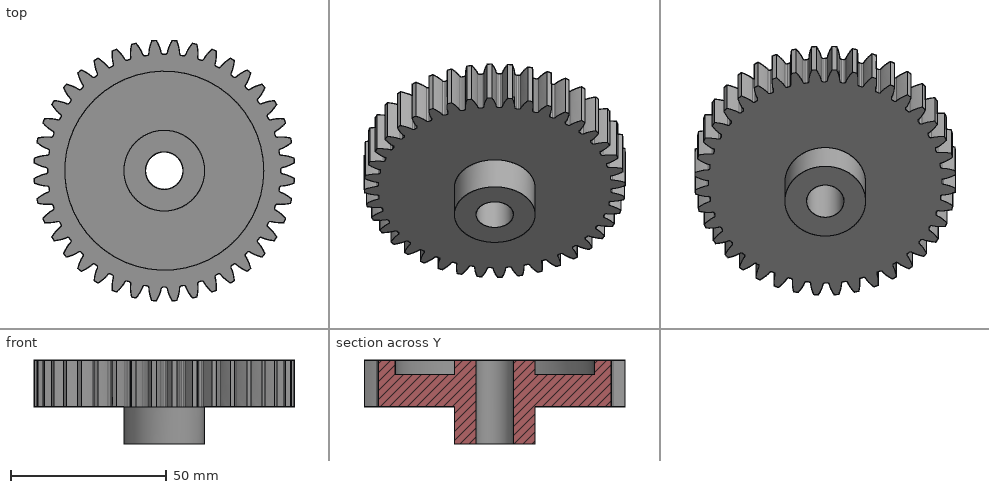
import cadquery as cq
import math

tooth_count = 40
outer_diameter = 84.0
pressure_angle = math.radians(20)
dedendum_factor = 1.25
root_fillet_radius = 0.6
flank_point_count = 6

face_width = 15.0
bore_diameter = 12.0
hub_diameter = 26.0
hub_length = 12.0
recess_diameter = 64.1
recess_depth = 4.5

module = outer_diameter / (tooth_count + 2)
pitch_radius = module * tooth_count / 2
base_radius = pitch_radius * math.cos(pressure_angle)
tip_radius = outer_diameter / 2
root_radius = pitch_radius - dedendum_factor * module
pitch_angle = 2 * math.pi / tooth_count


def polar(radius, angle):
    return (radius * math.cos(angle), radius * math.sin(angle))


def roll_at(radius):
    """Roll angle at which an involute of the base circle reaches this radius."""
    return math.sqrt((radius / base_radius) ** 2 - 1)


def involute_angle(roll):
    """Polar angle swept by an involute from its start on the base circle."""
    return roll - math.atan(roll)


half_tooth_angle = pitch_angle / 4 + involute_angle(math.tan(pressure_angle))

fillet_centre_radius = root_radius + root_fillet_radius
fillet_roll = root_fillet_radius / base_radius
fillet_centre_roll = roll_at(fillet_centre_radius)
fillet_centre_angle = half_tooth_angle + fillet_roll - involute_angle(fillet_centre_roll)

flank_start_roll = fillet_centre_roll - fillet_roll
flank_end_roll = roll_at(tip_radius)


def flank_offset(roll):
    """Radius, and angle away from the tooth centre line, of a flank point."""
    radius = base_radius * math.hypot(1, roll)
    return radius, half_tooth_angle - involute_angle(roll)


def flank_points(tooth_angle, side):
    """Points from root to tip; side is -1 for the leading flank, +1 for the trailing one."""
    points = []
    for i in range(flank_point_count):
        roll = flank_start_roll + (flank_end_roll - flank_start_roll) * i / (flank_point_count - 1)
        radius, offset = flank_offset(roll)
        points.append(polar(radius, tooth_angle + side * offset))
    return points


def fillet_middle(tooth_angle, side):
    """Point halfway along the root fillet beside a flank."""
    centre_x, centre_y = polar(fillet_centre_radius, fillet_centre_angle)
    start_x, start_y = polar(*flank_offset(flank_start_roll))
    end_x, end_y = polar(root_radius, fillet_centre_angle)
    toward_x = (start_x + end_x) / 2 - centre_x
    toward_y = (start_y + end_y) / 2 - centre_y
    stretch = root_fillet_radius / math.hypot(toward_x, toward_y)
    x = centre_x + toward_x * stretch
    y = centre_y + toward_y * stretch
    return polar(math.hypot(x, y), tooth_angle + side * math.atan2(y, x))


def add_tooth(outline, tooth_angle):
    """Add one tooth and the root arc after it, starting at the root arc before it."""
    leading = flank_points(tooth_angle, -1)
    trailing = flank_points(tooth_angle, 1)[::-1]
    root_end = polar(root_radius, tooth_angle + fillet_centre_angle)
    gap_middle = polar(root_radius, tooth_angle + pitch_angle / 2)
    next_start = polar(root_radius, tooth_angle + pitch_angle - fillet_centre_angle)
    return (
        outline.threePointArc(fillet_middle(tooth_angle, -1), leading[0])
        .spline(leading[1:], includeCurrent=True)
        .threePointArc(polar(tip_radius, tooth_angle), trailing[0])
        .spline(trailing[1:], includeCurrent=True)
        .threePointArc(fillet_middle(tooth_angle, 1), root_end)
        .threePointArc(gap_middle, next_start)
    )


def toothed_disc():
    first_angle = pitch_angle / 2
    outline = cq.Workplane("XY").moveTo(*polar(root_radius, first_angle - fillet_centre_angle))
    for i in range(tooth_count):
        outline = add_tooth(outline, first_angle + i * pitch_angle)
    return outline.close().extrude(-face_width)


def cylinder(diameter, top, height):
    """Cylinder on the gear axis, reaching down from its top level."""
    return cq.Workplane("XY").workplane(offset=top).circle(diameter / 2).extrude(-height)


total_height = face_width + hub_length

gear = toothed_disc().cut(cylinder(recess_diameter, 0, recess_depth))
gear = gear.union(cylinder(hub_diameter, 0, total_height))
result = gear.cut(cylinder(bore_diameter, 0, total_height))